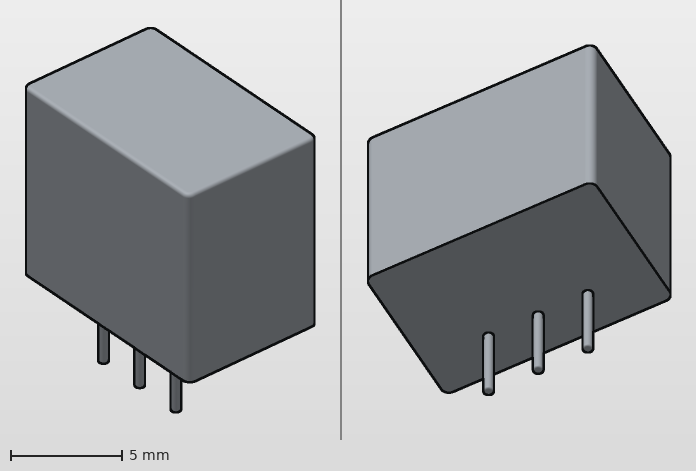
import cadquery as cq

HOUSING_LENGTH = 11.7
HOUSING_WIDTH = 7.6
CORNER_RADIUS = 0.4
TOP_EDGE_RADIUS = 0.2

PIN_COUNT = 3
PIN_DIAMETER = 0.5
PIN_LENGTH = 4.0
PIN_PITCH = 2.54
PIN_ROW_Y = -1.79
PIN_TIP_RADIUS = 0.1

OVERALL_HEIGHT = 14.2
HOUSING_HEIGHT = OVERALL_HEIGHT - PIN_LENGTH


def make_housing():
    """Block with rounded vertical corners and a rounded top rim."""
    block = cq.Workplane("XY").box(
        HOUSING_LENGTH, HOUSING_WIDTH, HOUSING_HEIGHT, centered=(True, True, False)
    )
    rounded = block.edges("|Z").fillet(CORNER_RADIUS)
    return rounded.faces(">Z").edges().fillet(TOP_EDGE_RADIUS)


def make_pin(x):
    """Pin hanging from the underside of the housing, with a rounded tip."""
    pin = (
        cq.Workplane("XY")
        .center(x, PIN_ROW_Y)
        .circle(PIN_DIAMETER / 2)
        .extrude(-PIN_LENGTH)
    )
    return pin.faces("<Z").edges().fillet(PIN_TIP_RADIUS)


housing = make_housing()

pins = []
for index in range(PIN_COUNT):
    pin_x = (index - (PIN_COUNT - 1) / 2) * PIN_PITCH
    pins.append(make_pin(pin_x).val())

result = cq.Compound.makeCompound([housing.val(), *pins])